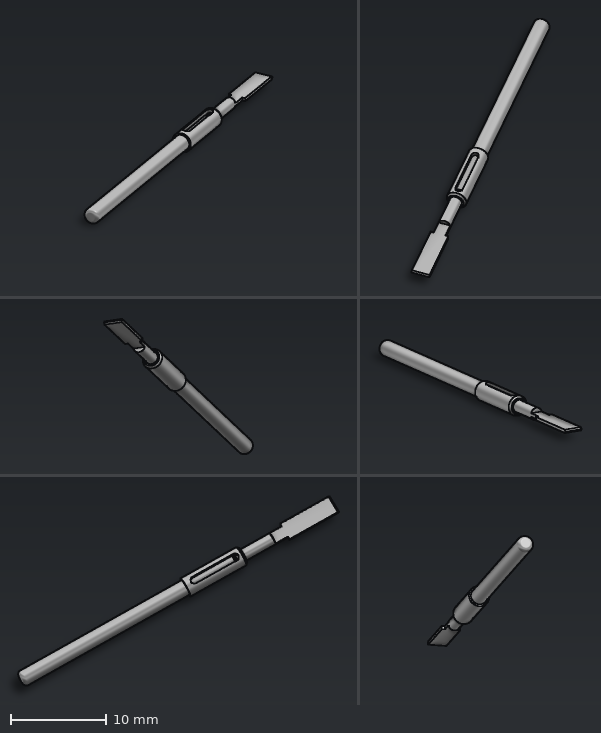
import cadquery as cq

total_length = 38.1
sleeve_start = 20.0
sleeve_end = 27.0
neck_end = 30.6
blade_shoulder = 32.08

rod_diameter = 1.8
sleeve_diameter = 2.2
neck_diameter = 1.37
handle_end_round = 0.42
sleeve_chamfer = 0.23

blade_width = 2.0
blade_thickness = 0.4
tip_bevel_length = 0.15

slot_start = 20.7
slot_end = 26.45
slot_width = 0.8

core_end = 26.0
neck_start = 26.17
groove_depth = 0.1
groove_diameter = neck_diameter - 2 * groove_depth


def cylinder_along_y(diameter, start, end):
    """Solid cylinder centred on the Y axis between two stations."""
    section = cq.Workplane("XZ", origin=(0, start, 0)).circle(diameter / 2)
    return section.extrude(start - end)


def make_handle():
    """Plain rod with a rounded free end."""
    rod = cylinder_along_y(rod_diameter, 0, sleeve_start)
    return rod.faces("<Y").edges().fillet(handle_end_round)


def make_slot_floor():
    """Core, groove and neck that stay standing below the slot."""
    core = cylinder_along_y(neck_diameter, sleeve_start, core_end)
    core = core.faces(">Y").edges().chamfer(groove_depth)
    groove = cylinder_along_y(groove_diameter, core_end, neck_start)
    neck_root = cylinder_along_y(neck_diameter, neck_start, sleeve_end)
    return core.union(groove).union(neck_root)


def make_sleeve():
    """Thicker sleeve, chamfered on the blade side, with a round-ended slot on top."""
    sleeve = cylinder_along_y(sleeve_diameter, sleeve_start, sleeve_end)
    sleeve = sleeve.faces(">Y").edges().chamfer(sleeve_chamfer)
    slot = (
        cq.Workplane("XY")
        .center(0, (slot_start + slot_end) / 2)
        .slot2D(slot_end - slot_start, slot_width, 90)
        .extrude(sleeve_diameter)
    )
    return sleeve.cut(slot.cut(make_slot_floor()))


def make_blade():
    """Wide flat blade with a wedge tip, whose tang is the neck milled to the same thickness."""
    half_thickness = blade_thickness / 2
    bevel_start = total_length - tip_bevel_length
    flat = (
        cq.Workplane("YZ")
        .moveTo(blade_shoulder, -half_thickness)
        .lineTo(bevel_start, -half_thickness)
        .lineTo(total_length, 0)
        .lineTo(bevel_start, half_thickness)
        .lineTo(blade_shoulder, half_thickness)
        .close()
        .extrude(blade_width / 2, both=True)
    )
    tang_length = blade_shoulder - neck_end
    slab = cq.Workplane("XY").box(neck_diameter, tang_length, blade_thickness)
    slab = slab.translate((0, neck_end + tang_length / 2, 0))
    tang = cylinder_along_y(neck_diameter, neck_end, blade_shoulder).intersect(slab)
    return flat.union(tang)


neck = cylinder_along_y(neck_diameter, sleeve_end, neck_end)

result = make_handle().union(make_sleeve()).union(neck).union(make_blade())